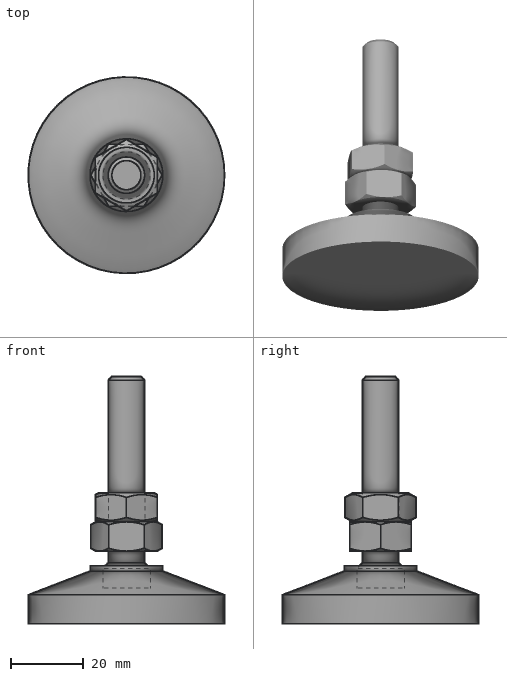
import cadquery as cq
import math

foot_diameter = 54.0
foot_rim_height = 8.0
collar_diameter = 20.0
collar_bottom = 14.53
collar_top = 16.0
socket_diameter = 13.0
socket_depth = 6.0

stud_diameter = 10.0
stud_length_above_hex = 40.0
stud_tip_chamfer = 1.0
flare_top = 16.83
hex_bottom = 20.03

hex_height = 8.0
across_flats = 17.0
chamfer_slope = math.tan(math.radians(30))
nut_face_ratio = 0.9
lock_nut_turn = 30.0

foot_radius = foot_diameter / 2
collar_radius = collar_diameter / 2
stud_radius = stud_diameter / 2
socket_radius = socket_diameter / 2
flare_bottom = flare_top - (socket_radius - stud_radius)
nut_face_diameter = nut_face_ratio * across_flats
across_corners = across_flats / math.cos(math.radians(30))
socket_floor = collar_top - socket_depth
nut_bottom = hex_bottom + hex_height
stud_top = nut_bottom + stud_length_above_hex


def revolve_profile(points):
    """Revolve a closed (radius, height) outline about the Z axis."""
    return cq.Workplane("XZ").polyline(points).close().revolve(360, (0, 0), (0, 1))


def chamfered_hexagon(bottom, turn, face_diameter):
    """Hexagonal prism with conical corner chamfers on both ends."""
    corner_radius = across_corners / 2
    face_radius = face_diameter / 2
    chamfer_drop = (corner_radius - face_radius) * chamfer_slope
    prism = (
        cq.Workplane("XY")
        .polygon(6, across_corners)
        .extrude(hex_height)
        .rotate((0, 0, 0), (0, 0, 1), turn)
    )
    envelope = revolve_profile([
        (0, 0),
        (face_radius, 0),
        (corner_radius, chamfer_drop),
        (corner_radius, hex_height - chamfer_drop),
        (face_radius, hex_height),
        (0, hex_height),
    ])
    return prism.intersect(envelope).translate((0, 0, bottom))


foot = revolve_profile([
    (0, 0),
    (foot_radius, 0),
    (foot_radius, foot_rim_height),
    (collar_radius, collar_bottom),
    (collar_radius, collar_top),
    (socket_radius, collar_top),
    (socket_radius, socket_floor),
    (0, socket_floor),
])

shank = revolve_profile([
    (0, socket_floor),
    (socket_radius, socket_floor),
    (socket_radius, flare_bottom),
    (stud_radius, flare_top),
    (stud_radius, stud_top - stud_tip_chamfer),
    (stud_radius - stud_tip_chamfer, stud_top),
    (0, stud_top),
])
stud = shank.union(chamfered_hexagon(hex_bottom, 0, across_flats))

nut_bore = cq.Workplane("XY").workplane(offset=nut_bottom).circle(stud_radius).extrude(hex_height)
lock_nut = chamfered_hexagon(nut_bottom, lock_nut_turn, nut_face_diameter).cut(nut_bore)

result = cq.Compound.makeCompound([foot.val(), stud.val(), lock_nut.val()])